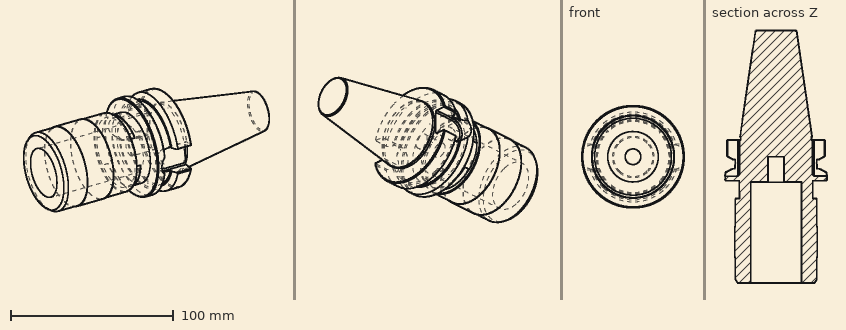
import cadquery as cq
import math

nose_end = -77.7
shank_end = 77.7

gauge_plane = 12.3
gauge_radius = 22.2
taper_ratio = 7 / 24
relief_radius = 21.9
shank_chamfer = 0.6

flange_back = 10.4
flange_front = -14.8
flange_radius = 31.47
flange_chamfer = 0.6
groove_floor_back = -1.7
groove_floor_front = -7.3
groove_floor_radius = 26.4
groove_foot_radius = 27.7
groove_slope_length = 2.2

neck_radius = 22.7
recess_back = -21.8
recess_radius = 22.4
recess_start_angle = 45
recess_sweep = 135

nut_back = -25.6
nut_radius = 25.2
nut_back_chamfer = 0.5
band_back = -42.9
band_front = -61.7
band_radius = 25.5
nose_chamfer_length = 2.3
nose_chamfer_depth = 1.5

bore_radius = 15.5
bore_depth = 62.2
small_hole_radius = 4.8
small_hole_depth = 15.5

slot_half_width = 8.1
slot_front = -11.8
slot_floor = 22.5
slot_floor_chamfer = 1.0
slot_mouth_chamfer = 0.8


def turned_body():
    """Solid of revolution about Y, from (radius, Y) points."""
    shank_end_radius = gauge_radius - (shank_end - gauge_plane) * taper_ratio / 2
    chamfer_start = shank_end - shank_chamfer
    chamfer_start_radius = shank_end_radius + shank_chamfer * taper_ratio / 2
    outline = [
        (0, nose_end),
        (nut_radius - nose_chamfer_depth, nose_end),
        (nut_radius, nose_end + nose_chamfer_length),
        (nut_radius, band_front),
        (band_radius, band_front),
        (band_radius, band_back),
        (nut_radius, band_back),
        (nut_radius, nut_back - nut_back_chamfer),
        (nut_radius - nut_back_chamfer, nut_back),
        (neck_radius, nut_back),
        (neck_radius, flange_front),
        (flange_radius - flange_chamfer, flange_front),
        (flange_radius, flange_front + flange_chamfer),
        (flange_radius, groove_floor_front - groove_slope_length),
        (groove_foot_radius, groove_floor_front),
        (groove_floor_radius, groove_floor_front),
        (groove_floor_radius, groove_floor_back),
        (groove_foot_radius, groove_floor_back),
        (flange_radius, groove_floor_back + groove_slope_length),
        (flange_radius, flange_back - flange_chamfer),
        (flange_radius - flange_chamfer, flange_back),
        (relief_radius, flange_back),
        (relief_radius, gauge_plane),
        (gauge_radius, gauge_plane),
        (chamfer_start_radius, chamfer_start),
        (shank_end_radius - shank_chamfer, shank_end),
        (0, shank_end),
    ]
    return cq.Workplane("XY").polyline(outline).close().revolve(360, (0, 0, 0), (0, 1, 0))


def neck_recess():
    """Cutter for one arc-shaped recess of the neck, next to the nut."""
    return (
        cq.Workplane("XY")
        .polyline([
            (recess_radius, nut_back),
            (nut_radius, nut_back),
            (nut_radius, recess_back),
            (recess_radius, recess_back),
        ])
        .close()
        .revolve(recess_sweep, (0, 0, 0), (0, -1, 0))
        .rotate((0, 0, 0), (0, -1, 0), recess_start_angle)
    )


def blind_hole(radius, start, depth):
    """Cylinder running toward +Y from the given station."""
    return cq.Workplane("XZ", origin=(0, start, 0)).circle(radius).extrude(-depth)


def drive_slot():
    """Cutter for the slot on the +X side."""
    height = flange_radius - slot_floor
    length = flange_back - slot_front
    arc_center = slot_front + slot_half_width
    slot = (
        cq.Workplane("YZ", origin=(slot_floor, 0, 0))
        .moveTo(slot_front + length, -slot_half_width)
        .lineTo(arc_center, -slot_half_width)
        .threePointArc((slot_front, 0), (arc_center, slot_half_width))
        .lineTo(slot_front + length, slot_half_width)
        .close()
        .extrude(height)
        .faces("<X").edges("not(>Y)").chamfer(slot_floor_chamfer)
    )
    rim_height = math.sqrt(flange_radius**2 - slot_half_width**2)
    mouth_half_width = slot_half_width + slot_mouth_chamfer
    flare = (
        cq.Workplane("XZ", origin=(0, flange_back, 0))
        .polyline([
            (rim_height - slot_mouth_chamfer, slot_half_width),
            (rim_height, mouth_half_width),
            (flange_radius, mouth_half_width),
            (flange_radius, -mouth_half_width),
            (rim_height, -mouth_half_width),
            (rim_height - slot_mouth_chamfer, -slot_half_width),
        ])
        .close()
        .extrude(flange_back - groove_floor_back)
    )
    return slot.union(flare)


result = turned_body()
result = result.cut(blind_hole(bore_radius, nose_end, bore_depth))
result = result.cut(blind_hole(small_hole_radius, nose_end + bore_depth, small_hole_depth))
for angle in (0, 180):
    result = result.cut(drive_slot().rotate((0, 0, 0), (0, 1, 0), angle))
    result = result.cut(neck_recess().rotate((0, 0, 0), (0, 1, 0), angle))